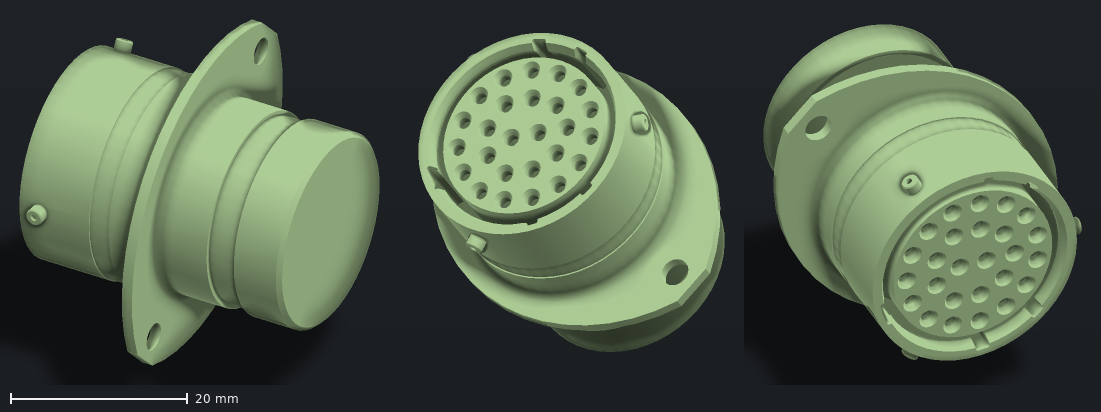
import cadquery as cq
import math


total_length = 33.32
front_radius = 12.63
front_groove_radius = 12.45
front_groove_start, front_groove_end = 9.03, 11.6
rear_radius = 11.7
rear_groove_radius = 11.15
rear_groove_start, rear_groove_end = 23.8, 27.35
rear_chamfer = 0.52

flange_start, flange_end = 15.95, 17.25
flange_half_height = 17.3
flange_arc_radius = 22.42
flange_corner_long, flange_corner_short = 16.02, 12.55
flange_hole_offset = 12.3
flange_hole_radius = 1.63
front_fillet = 0.8
rear_fillet = 0.95

cavity_depth = 9.7
mouth_radius = 11.42
lip_radius = 10.95
taper_depth = 1.0
lip_depth = 1.45
cavity_radius = 11.07

keyway_radius = 11.87
keyway_corner_radius = 0.28
keyways = [(80, 1.7), (52, 1.7), (-47.7, 1.7), (-85, 1.7), (198, 3.2)]

insert_radius = 9.8
insert_recess = 0.5
collar_radius = keyway_radius
collar_width = 1.73
collar_chamfer = 0.3

hole_mouth_radius = 1.15
hole_radius = 0.7
hole_taper_depth = 0.7
hole_depth = 1.73
outer_ring_radius = 8.15
outer_ring_count = 15
outer_ring_step = 360 / outer_ring_count
axis_holes = [-5.15, -1.65, 1.63]
mirrored_holes = [(-3.85, 3.05), (-0.95, 4.53), (2.35, 4.43), (4.45, 1.73)]

pin_radius = 1.0
pin_x = 2.6
pin_tip = 13.98
pin_root = 11.42
pin_chamfer = 0.15
pin_hole_radius = 0.38
pin_hole_depth = 0.7
pin_angles = [0, 120, 240]


def turned(points):
    """Solid turned about X from (x, radius) corner points."""
    return cq.Workplane("XZ").polyline(points).close().revolve(360, (0, 0, 0), (1, 0, 0))


def across(x):
    """Workplane square to the axis at x, with local axes Y and Z."""
    return cq.Workplane("YZ", origin=(x, 0, 0))


def make_barrel():
    return (
        cq.Workplane("XZ")
        .moveTo(0, 0)
        .lineTo(0, front_radius)
        .lineTo(front_groove_start, front_radius)
        .lineTo(front_groove_start, front_groove_radius)
        .lineTo(front_groove_end, front_groove_radius)
        .lineTo(front_groove_end, front_radius)
        .lineTo(flange_start - front_fillet, front_radius)
        .radiusArc((flange_start, front_radius + front_fillet), -front_fillet)
        .lineTo(flange_end, front_radius + front_fillet)
        .lineTo(flange_end, rear_radius + rear_fillet)
        .radiusArc((flange_end + rear_fillet, rear_radius), -rear_fillet)
        .lineTo(rear_groove_start, rear_radius)
        .lineTo(rear_groove_start, rear_groove_radius)
        .lineTo(rear_groove_end, rear_groove_radius)
        .lineTo(rear_groove_end, rear_radius)
        .lineTo(total_length - rear_chamfer, rear_radius)
        .lineTo(total_length, rear_radius - rear_chamfer)
        .lineTo(total_length, 0)
        .close()
        .revolve(360, (0, 0, 0), (1, 0, 0))
    )


def make_flange():
    long, short = flange_corner_long, flange_corner_short
    centre_offset = flange_arc_radius - flange_half_height
    middle = flange_arc_radius / math.sqrt(2) - centre_offset
    return (
        across(flange_start)
        .moveTo(long, short)
        .threePointArc((middle, -middle), (-short, -long))
        .lineTo(-long, -short)
        .threePointArc((-middle, middle), (short, long))
        .close()
        .extrude(flange_end - flange_start)
        .cut(
            across(flange_start)
            .pushPoints([(flange_hole_offset,) * 2, (-flange_hole_offset,) * 2])
            .circle(flange_hole_radius)
            .extrude(flange_end - flange_start)
        )
    )


def make_keyway(angle, width):
    """Keyway running the depth of the cavity, with rounded floor corners."""
    keyway = (
        cq.Workplane("XY")
        .box(cavity_depth, front_radius, width, centered=(False, False, True))
        .intersect(across(0).circle(keyway_radius).extrude(cavity_depth))
        .edges("|X")
        .edges(">Y")
        .fillet(keyway_corner_radius)
    )
    return keyway.rotate((0, 0, 0), (1, 0, 0), 180 - angle)


def make_cavity():
    """Tapered mouth and lip, opening into a wider chamber."""
    cavity = turned(
        [
            (0, 0),
            (0, mouth_radius),
            (taper_depth, lip_radius),
            (lip_depth, lip_radius),
            (lip_depth, cavity_radius),
            (cavity_depth, cavity_radius),
            (cavity_depth, 0),
        ]
    )
    for angle, width in keyways:
        cavity = cavity.union(make_keyway(angle, width))
    return cavity


def make_insert_blank():
    """Insert without its contact holes: a long core with a chamfered collar seated in the shell."""
    collar_start = cavity_depth
    return turned(
        [
            (insert_recess, 0),
            (insert_recess, insert_radius),
            (collar_start, insert_radius),
            (collar_start, collar_radius - collar_chamfer),
            (collar_start + collar_chamfer, collar_radius),
            (collar_start + collar_width, collar_radius),
            (collar_start + collar_width, insert_radius),
            (total_length, insert_radius),
            (total_length, 0),
        ]
    )


def contact_positions():
    ring = [
        (
            outer_ring_radius * math.cos(math.radians(outer_ring_step * i)),
            outer_ring_radius * math.sin(math.radians(outer_ring_step * i)),
        )
        for i in range(outer_ring_count)
    ]
    on_axis = [(y, 0) for y in axis_holes]
    mirrored = [(y, side * z) for y, z in mirrored_holes for side in (1, -1)]
    return ring + on_axis + mirrored


def make_insert():
    hole = turned(
        [
            (0, 0),
            (0, hole_mouth_radius),
            (hole_taper_depth, hole_radius),
            (hole_depth, hole_radius),
            (hole_depth, 0),
        ]
    )
    insert = make_insert_blank()
    for y, z in contact_positions():
        insert = insert.cut(hole.translate((insert_recess, y, z)))
    return insert


def make_pin_blank():
    """Pin pointing along -Y, without its hole."""
    return (
        cq.Workplane("XZ", origin=(pin_x, -pin_root, 0))
        .circle(pin_radius)
        .extrude(pin_tip - pin_root)
        .faces("<Y")
        .chamfer(pin_chamfer)
    )


def placed(pin, angle):
    return pin.rotate((0, 0, 0), (1, 0, 0), -angle)


def make_pins():
    pin = make_pin_blank().faces("<Y").workplane().hole(2 * pin_hole_radius, pin_hole_depth)
    return [placed(pin, angle) for angle in pin_angles]


def make_shell():
    shell = make_barrel().union(make_flange()).cut(make_cavity()).cut(make_insert_blank())
    for angle in pin_angles:
        shell = shell.cut(placed(make_pin_blank(), angle))
    return shell


shell = make_shell()
insert = make_insert()
pins = make_pins()

result = cq.Compound.makeCompound([shell.val(), insert.val(), *[pin.val() for pin in pins]])